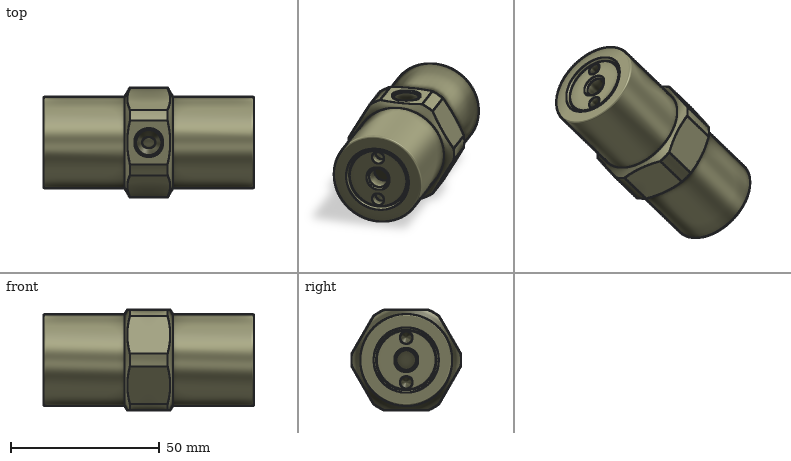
import cadquery as cq
import math

body_length = 71.0
body_diameter = 31.0
end_fillet = 0.7

hex_sides = 6
hex_across_flats = 34.0
hex_corner_diameter = 37.05
hex_width = 16.2
hex_bevel_angle = 30.0

recess_mouth_diameter = 22.0
plug_diameter = 20.3
plug_edge_chamfer = 0.2
plug_face_depth = 0.7

bore_diameter = 6.7
bore_chamfer = 0.7
bore_depth = 7.1

spanner_hole_diameter = 4.2
spanner_hole_offset = 7.5
spanner_hole_depth = 4.25

port_diameter = 8.6
port_chamfer = 0.6
port_depth = 7.25
core_diameter = 17.05

drill_point_angle = 118.0


def drill_point_height(radius):
    """Length of the conical tip left by a drill of the given radius."""
    return radius / math.tan(math.radians(drill_point_angle / 2))


def x_revolved(points):
    """Solid of revolution about the X axis from (x, radius) points."""
    return cq.Workplane("XY").polyline(points).close().revolve(360, (0, 0, 0), (1, 0, 0))


def make_collar():
    """Hexagon with two flats facing up and down, trimmed by a bevelled round."""
    corner_radius = hex_corner_diameter / 2
    body_radius = body_diameter / 2
    half_width = hex_width / 2
    bevel_length = (corner_radius - body_radius) * math.tan(math.radians(hex_bevel_angle))
    across_corners = hex_across_flats / math.cos(math.pi / hex_sides)
    hexagon = cq.Workplane("YZ").polygon(hex_sides, across_corners).extrude(half_width, both=True)
    turned_round = x_revolved([
        (-half_width, 0),
        (-half_width, body_radius),
        (-half_width + bevel_length, corner_radius),
        (half_width - bevel_length, corner_radius),
        (half_width, body_radius),
        (half_width, 0),
    ])
    return hexagon.intersect(turned_round)


def make_body():
    bar = cq.Workplane("YZ").circle(body_diameter / 2).extrude(body_length / 2, both=True)
    return bar.faces("<X or >X").edges().fillet(end_fillet)


def make_end_cut():
    """Material removed from the -X end: plug recess, bore and spanner holes."""
    end_x = -body_length / 2
    face_x = end_x + plug_face_depth
    mouth_radius = recess_mouth_diameter / 2
    plug_radius = plug_diameter / 2
    groove_x = end_x + mouth_radius - plug_radius
    recess = x_revolved([
        (end_x, 0),
        (end_x, mouth_radius),
        (groove_x, plug_radius),
        (face_x, plug_radius - plug_edge_chamfer),
        (face_x, 0),
    ])

    bore_radius = bore_diameter / 2
    bore = x_revolved([
        (face_x, 0),
        (face_x, bore_radius + bore_chamfer),
        (face_x + bore_chamfer, bore_radius),
        (face_x + bore_depth, bore_radius),
        (face_x + bore_depth, 0),
    ])

    hole_radius = spanner_hole_diameter / 2
    spanner_hole = x_revolved([
        (face_x, 0),
        (face_x, hole_radius),
        (face_x + spanner_hole_depth, hole_radius),
        (face_x + spanner_hole_depth + drill_point_height(hole_radius), 0),
    ])

    cut = recess.union(bore)
    for side in (-1, 1):
        cut = cut.union(spanner_hole.translate((0, 0, side * spanner_hole_offset)))
    return cut


def make_port_cut():
    """Chamfered drilled hole from the top flat, stopped by the round core."""
    radius = port_diameter / 2
    top_z = hex_across_flats / 2
    drill = (
        cq.Workplane("XZ")
        .polyline([
            (0, top_z),
            (radius + port_chamfer, top_z),
            (radius, top_z - port_chamfer),
            (radius, top_z - port_depth),
            (0, top_z - port_depth - drill_point_height(radius)),
        ])
        .close()
        .revolve(360, (0, 0, 0), (0, 1, 0))
    )
    core = cq.Workplane("YZ").circle(core_diameter / 2).extrude(hex_width / 2, both=True)
    return drill.cut(core)


end_cut = make_end_cut()
result = (
    make_body()
    .union(make_collar())
    .cut(end_cut)
    .cut(end_cut.mirror("YZ"))
    .cut(make_port_cut())
)